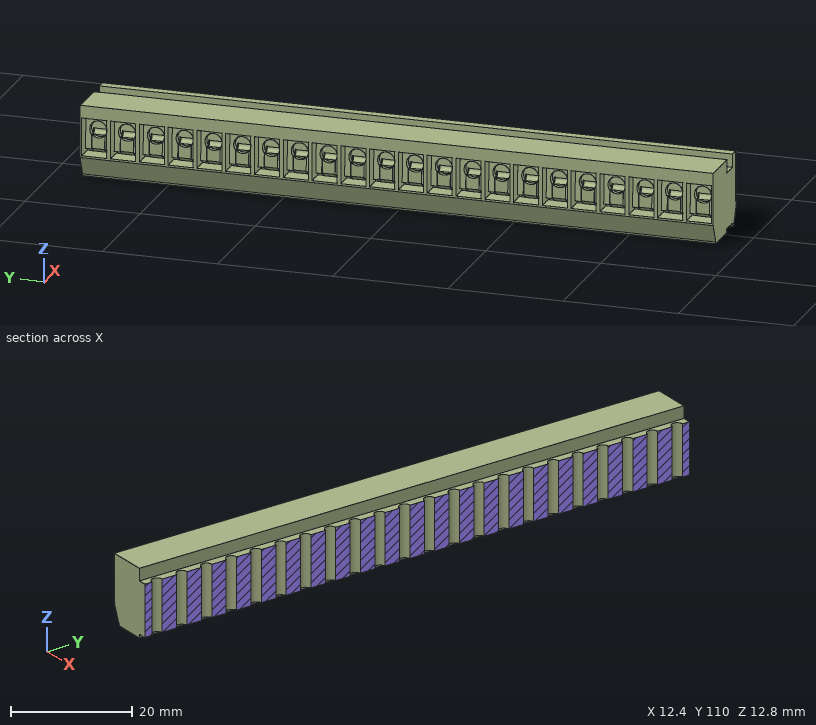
import cadquery as cq
import math


length = 110.0
width = 12.4
height = 12.8
pole_count = 22
pitch = length / pole_count

flank_inset = 1.3
flank_bottom = 0.3
flank_top = 3.6
lip_top = 4.0
lip_depth = 0.4
channel_left = 7.3
channel_right = 10.2
top_channel_depth = 2.3
bottom_channel_depth = 0.7

screw_hole_diameter = 2.0
screw_hole_x = (channel_left + channel_right) / 2

rib_thickness = 0.7
pocket_width = pitch - rib_thickness
pocket_floor = 4.0
pocket_top = 10.6
pocket_depth_top = 2.3
pocket_depth_bottom = 2.0
groove_height = 0.7
groove_depth = 3.1
groove_top = pocket_floor + groove_height

recess_diameter = 3.0
recess_z = 8.0
recess_step = 1.0
slot_width = 2.3
slot_top = 7.9

plate_face = 2.3
scoop_radius = 0.9
scoop_x = 2.9
scoop_z = 7.7


def prism(points, y_width):
    """Extrude an XZ outline along Y, centred on y = 0."""
    return cq.Workplane("XZ").polyline(points).close().extrude(y_width / 2, both=True)


def make_body():
    """Full-length cross-section with top and bottom channels."""
    side = width - lip_depth
    channel_floor = height - top_channel_depth
    outline = [
        (flank_inset, 0),
        (channel_left, 0),
        (channel_left, bottom_channel_depth),
        (channel_right, bottom_channel_depth),
        (channel_right, 0),
        (width - flank_inset, 0),
        (width - flank_inset, flank_bottom),
        (width, flank_top),
        (width, lip_top),
        (side, lip_top),
        (side, height),
        (channel_right, height),
        (channel_right, channel_floor),
        (channel_left, channel_floor),
        (channel_left, height),
        (0, height),
        (0, flank_top),
        (flank_inset, flank_bottom),
    ]
    return prism(outline, length).translate((0, length / 2, 0))


def make_pocket():
    """Pocket with a leaning back wall and a groove along its floor."""
    return prism(
        [
            (0, pocket_floor),
            (groove_depth, pocket_floor),
            (groove_depth, groove_top),
            (pocket_depth_bottom, groove_top),
            (pocket_depth_top, pocket_top),
            (0, pocket_top),
        ],
        pocket_width,
    )


def make_round_recess():
    """Round recess whose floor is parallel to the leaning back wall."""
    cylinder = (
        cq.Workplane("YZ")
        .center(0, recess_z)
        .circle(recess_diameter / 2)
        .extrude(width / 2)
    )
    depth_limit = prism(
        [
            (0, groove_top),
            (pocket_depth_bottom + recess_step, groove_top),
            (pocket_depth_top + recess_step, pocket_top),
            (0, pocket_top),
        ],
        pocket_width,
    )
    return cylinder.intersect(depth_limit)


def make_slot():
    """Slot space in front of the clamp plate: bevel at the bottom, scoop at the top."""
    plate_top = scoop_z - math.sqrt(scoop_radius**2 - (scoop_x - plate_face) ** 2)
    scoop_end_x = scoop_x + math.sqrt(scoop_radius**2 - (slot_top - scoop_z) ** 2)
    scoop_mid = scoop_radius * math.sqrt(0.5)
    return (
        cq.Workplane("XZ")
        .moveTo(0, pocket_floor)
        .lineTo(plate_face + groove_height, pocket_floor)
        .lineTo(plate_face, groove_top)
        .lineTo(plate_face, plate_top)
        .threePointArc((scoop_x + scoop_mid, scoop_z - scoop_mid), (scoop_end_x, slot_top))
        .lineTo(0, slot_top)
        .close()
        .extrude(slot_width / 2, both=True)
    )


def make_plate_foot():
    """Lower end of the clamp plate, filling the groove behind its bevel."""
    return prism(
        [
            (plate_face + groove_height, pocket_floor),
            (groove_depth, pocket_floor),
            (groove_depth, groove_top),
            (plate_face, groove_top),
        ],
        slot_width,
    )


def make_pole_cutter():
    """Everything removed from the body for one pole, centred on y = 0."""
    screw_hole = (
        cq.Workplane("XY")
        .center(screw_hole_x, 0)
        .circle(screw_hole_diameter / 2)
        .extrude(height)
    )
    return (
        make_pocket()
        .cut(make_plate_foot())
        .union(make_round_recess())
        .union(make_slot())
        .union(screw_hole)
    )


pole_cutter = make_pole_cutter()
result = make_body()
for pole in range(pole_count):
    pole_y = pitch / 2 + pole * pitch
    result = result.cut(pole_cutter.translate((0, pole_y, 0)))